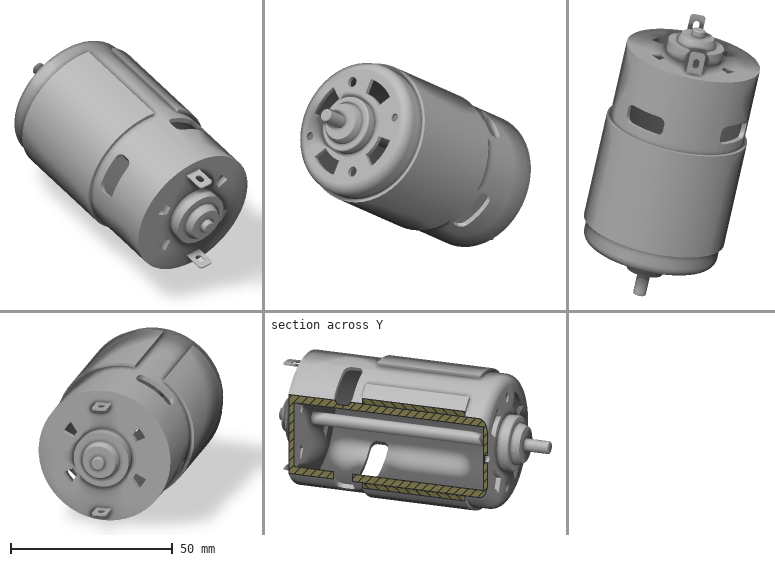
import cadquery as cq
import math


SHAFT_LENGTH = 89.0
SHAFT_DIAMETER = 4.0
SHAFT_FILLET = 0.4

CAN_FRONT = 14.3
CAN_REAR = 80.3
CAN_OUTER_DIAMETER = 42.2
CAN_INNER_DIAMETER = 39.2
CAN_FRONT_FILLET = 2.9
FRONT_WALL = (CAN_OUTER_DIAMETER - CAN_INNER_DIAMETER) / 2
REAR_WALL = 2.0

HUB_DIAMETER = 17.5
FRONT_HUB_LENGTH = 3.65
REAR_HUB_LENGTH = 4.0
FRONT_HUB_FILLET = 0.5
NOSE_LENGTH = 2.7
FRONT_NOSE_BASE_DIAMETER = 13.0
REAR_NOSE_BASE_DIAMETER = 11.9
NOSE_TAPER = 1.6
NOSE_BULGE = 0.2

BUSHING_DIAMETER = 9.0

SCREW_HOLE_DIAMETER = 3.2
SCREW_HOLE_RADIUS = 14.6
PIN_HOLE_DIAMETER = 2.5
PIN_HOLE_RADIUS = 16.0
PIN_HOLE_DEPTH = 1.0

WINDOW_INNER_RADIUS = 11.2
FRONT_WINDOW_OUTER_RADIUS = 15.9
REAR_WINDOW_OUTER_RADIUS = 14.8
WINDOW_START_ANGLE = 26.4
WINDOW_END_ANGLE = 63.6
REAR_WINDOW_INNER_END_ANGLE = 38.7
REAR_WINDOW_OUTER_END_ANGLE = 43.0

SLOT_COUNT = 4
SLOT_CENTER_X = 62.3
SLOT_WIDTH = 6.05
SLOT_LENGTH = 13.9
SLOT_CORNER_RADIUS = 2.05
SLOT_FIRST_ANGLE = 34.7

TERMINAL_END = 87.6
TERMINAL_OFFSET = 17.2
TERMINAL_WIDTH = 4.8
TERMINAL_THICKNESS = 0.45
TERMINAL_CORNER = 1.2
EYELET_WIDTH = 2.0
EYELET_LENGTH = 3.2
EYELET_CENTER_X = 83.9

RING_FRONT = 21.8
RING_REAR = 55.9
RING_OUTER_DIAMETER = 44.4
RING_GAP_START = 8.7
RING_GAP_END = 35.0

FRONT_HUB_FACE = CAN_FRONT - FRONT_HUB_LENGTH
REAR_HUB_FACE = CAN_REAR + REAR_HUB_LENGTH
FRONT_TIP = FRONT_HUB_FACE - NOSE_LENGTH
REAR_TIP = REAR_HUB_FACE + NOSE_LENGTH
CAVITY_FRONT = CAN_FRONT + FRONT_WALL
CAVITY_REAR = CAN_REAR - REAR_WALL


def rod(start, end, diameter):
    """Cylinder on the motor axis from X = start to X = end."""
    return cq.Workplane("YZ", origin=(start, 0, 0)).circle(diameter / 2).extrude(end - start)


def polar(radius, angle):
    """Point at a radius and an angle in degrees."""
    return (radius * math.cos(math.radians(angle)), radius * math.sin(math.radians(angle)))


def make_nose(base_x, tip_x, base_diameter):
    """Solid nose with a bowed side, narrowing from base_x to tip_x."""
    base_radius = base_diameter / 2
    tip_radius = base_radius - NOSE_TAPER / 2
    middle = ((base_x + tip_x) / 2, (base_radius + tip_radius) / 2 + NOSE_BULGE)
    return (
        cq.Workplane("XY")
        .moveTo(base_x, 0)
        .lineTo(base_x, base_radius)
        .threePointArc(middle, (tip_x, tip_radius))
        .lineTo(tip_x, 0)
        .close()
        .revolve(360, (0, 0, 0), (1, 0, 0))
    )


def make_end_windows(start_x, depth, outer_radius, inner_end_angle, outer_end_angle):
    """Four cutters for the windows of one end wall."""
    inner_middle = (WINDOW_START_ANGLE + inner_end_angle) / 2
    outer_middle = (WINDOW_START_ANGLE + outer_end_angle) / 2
    window = (
        cq.Workplane("YZ", origin=(start_x, 0, 0))
        .moveTo(*polar(WINDOW_INNER_RADIUS, WINDOW_START_ANGLE))
        .lineTo(*polar(outer_radius, WINDOW_START_ANGLE))
        .threePointArc(polar(outer_radius, outer_middle), polar(outer_radius, outer_end_angle))
        .lineTo(*polar(WINDOW_INNER_RADIUS, inner_end_angle))
        .threePointArc(
            polar(WINDOW_INNER_RADIUS, inner_middle),
            polar(WINDOW_INNER_RADIUS, WINDOW_START_ANGLE),
        )
        .close()
        .extrude(depth)
    )
    upper_pair = window.union(window.mirror("XZ"))
    return upper_pair.union(upper_pair.mirror("XY"))


def make_front_holes():
    """Cutters for the two through screw holes and the two blind pin holes of the front wall."""
    front = cq.Workplane("YZ", origin=(CAN_FRONT, 0, 0))
    screw_holes = (
        front.pushPoints([(0, SCREW_HOLE_RADIUS), (0, -SCREW_HOLE_RADIUS)])
        .circle(SCREW_HOLE_DIAMETER / 2)
        .extrude(FRONT_WALL)
    )
    pin_holes = (
        front.pushPoints([(PIN_HOLE_RADIUS, 0), (-PIN_HOLE_RADIUS, 0)])
        .circle(PIN_HOLE_DIAMETER / 2)
        .extrude(PIN_HOLE_DEPTH)
    )
    return screw_holes.union(pin_holes)


def make_cooling_slot(angle):
    """Rounded cutter through one side of the can, turned from -Y toward +Z."""
    slot = (
        cq.Workplane("XZ")
        .center(SLOT_CENTER_X, 0)
        .rect(SLOT_WIDTH, SLOT_LENGTH)
        .extrude(CAN_OUTER_DIAMETER)
        .edges("|Y")
        .fillet(SLOT_CORNER_RADIUS)
    )
    return slot.rotate((0, 0, 0), (1, 0, 0), -angle)


def make_terminal(offset):
    """Thin tab with an eyelet, standing on the rear wall and centred on Z = offset."""
    length = TERMINAL_END - CAVITY_REAR
    tab = (
        cq.Workplane("XY")
        .box(length, TERMINAL_WIDTH, TERMINAL_THICKNESS)
        .translate((CAVITY_REAR + length / 2, 0, offset))
        .edges("|Z and >X")
        .fillet(TERMINAL_CORNER)
    )
    eyelet = (
        cq.Workplane("XY")
        .slot2D(EYELET_LENGTH, EYELET_WIDTH)
        .extrude(TERMINAL_THICKNESS, both=True)
        .translate((EYELET_CENTER_X, 0, offset))
    )
    return tab.cut(eyelet)


def make_housing():
    """Can with both hubs, noses and terminals, bored for the two bushings."""
    can = rod(CAN_FRONT, CAN_REAR, CAN_OUTER_DIAMETER).edges("<X").fillet(CAN_FRONT_FILLET)
    can = can.cut(rod(CAVITY_FRONT, CAVITY_REAR, CAN_INNER_DIAMETER))

    front_hub = rod(FRONT_HUB_FACE, CAN_FRONT, HUB_DIAMETER).edges("<X").fillet(FRONT_HUB_FILLET)
    rear_hub = rod(CAN_REAR, REAR_HUB_FACE, HUB_DIAMETER)
    housing = can.union(front_hub).union(rear_hub)
    housing = housing.union(make_nose(FRONT_HUB_FACE, FRONT_TIP, FRONT_NOSE_BASE_DIAMETER))
    housing = housing.union(make_nose(REAR_HUB_FACE, REAR_TIP, REAR_NOSE_BASE_DIAMETER))
    for offset in (TERMINAL_OFFSET, -TERMINAL_OFFSET):
        housing = housing.union(make_terminal(offset))

    housing = housing.cut(rod(FRONT_TIP, REAR_TIP, BUSHING_DIAMETER))
    housing = housing.cut(make_front_holes())
    housing = housing.cut(
        make_end_windows(
            CAN_FRONT,
            FRONT_WALL,
            FRONT_WINDOW_OUTER_RADIUS,
            WINDOW_END_ANGLE,
            WINDOW_END_ANGLE,
        )
    )
    housing = housing.cut(
        make_end_windows(
            CAVITY_REAR,
            REAR_WALL,
            REAR_WINDOW_OUTER_RADIUS,
            REAR_WINDOW_INNER_END_ANGLE,
            REAR_WINDOW_OUTER_END_ANGLE,
        )
    )
    for index in range(SLOT_COUNT):
        housing = housing.cut(make_cooling_slot(SLOT_FIRST_ANGLE + index * 360 / SLOT_COUNT))
    return housing


def make_flux_ring():
    """Sleeve around the can, split by a gap with radial edges."""
    sleeve = rod(RING_FRONT, RING_REAR, RING_OUTER_DIAMETER)
    sleeve = sleeve.cut(rod(RING_FRONT, RING_REAR, CAN_OUTER_DIAMETER))
    gap = (
        cq.Workplane("YZ", origin=(RING_FRONT, 0, 0))
        .polyline(
            [
                (0, 0),
                polar(RING_OUTER_DIAMETER, 90 - RING_GAP_START),
                polar(RING_OUTER_DIAMETER, 90 - RING_GAP_END),
            ]
        )
        .close()
        .extrude(RING_REAR - RING_FRONT)
    )
    return sleeve.cut(gap)


def make_shaft():
    """Plain rod through the whole motor, rounded at both ends."""
    return rod(0, SHAFT_LENGTH, SHAFT_DIAMETER).edges().fillet(SHAFT_FILLET)


def make_bushing(start, end):
    """Plain sleeve bearing for the shaft."""
    return rod(start, end, BUSHING_DIAMETER).cut(rod(start, end, SHAFT_DIAMETER))


housing = make_housing()
flux_ring = make_flux_ring()
shaft = make_shaft()
bushings = [
    make_bushing(start, end)
    for start, end in ((FRONT_TIP, CAVITY_FRONT), (CAVITY_REAR, REAR_TIP))
]

result = cq.Compound.makeCompound(
    [housing.val(), flux_ring.val(), shaft.val(), *[bushing.val() for bushing in bushings]]
)